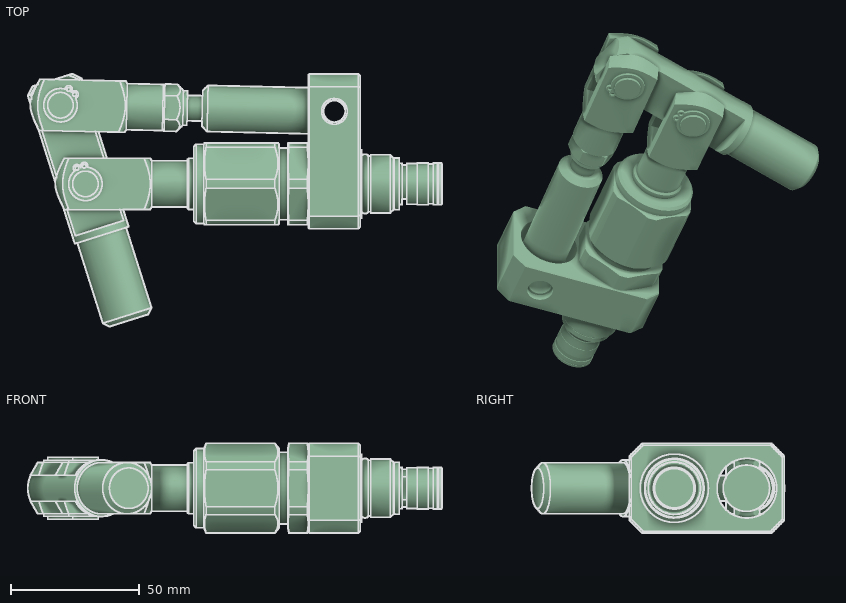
import cadquery as cq
import math


BLOCK_LENGTH = 20.1
BLOCK_HEIGHT = 35.0
BLOCK_WIDTH = 60.2
BLOCK_CORNER_CHAMFER = 5.0
BLOCK_REAR_CHAMFER = 0.8
BLOCK_FRONT_CHAMFER = 0.4
BLOCK_CENTER_Y = BLOCK_WIDTH / 2 - BLOCK_HEIGHT / 2

JOINT_X = BLOCK_LENGTH / 2
JOINT_Y = 28.2
LINK_BORE_DIAMETER = 23.2
JOINT_HOLE_DIAMETER = 8.4
COUNTERBORE_DIAMETER = 10.0
COUNTERBORE_DEPTH = 2.7
SLEEVE_DIAMETER = 10.0
SLEEVE_HALF_HEIGHT = 12.0

LEVER_ANGLE = 17.6
PIN_SPACING = 32.0
MAIN_PIN_X = -86.6
LEVER_DIAMETER = 22.0
LEVER_BAR_THICKNESS = 10.0
LEVER_END = -10.3
LEVER_END_CHAMFER = 2.9
LEVER_SHOULDER = 50.1
LEVER_COLLAR_END = 53.0
HANDLE_DIAMETER = 20.0
HANDLE_END = 87.8
HANDLE_CHAMFER = 2.1

LINK_PIN_X = MAIN_PIN_X - PIN_SPACING * math.sin(math.radians(LEVER_ANGLE))
LINK_PIN_Y = PIN_SPACING * math.cos(math.radians(LEVER_ANGLE))
LINK_LENGTH = math.hypot(JOINT_X - LINK_PIN_X, JOINT_Y - LINK_PIN_Y)
LINK_ANGLE = math.degrees(math.atan2(JOINT_Y - LINK_PIN_Y, JOINT_X - LINK_PIN_X))

CLEVIS_SIDE = 20.0
CLEVIS_FRONT = -11.8
CLEVIS_FRONT_RADIUS = 5.0
CLEVIS_REAR = 25.8
CLEVIS_SLOT_END = 20.0
CLEVIS_CONE_ANGLE = 30
NECK_DIAMETER = 18.0

PIN_DIAMETER = 10.0
PIN_HALF_LENGTH = 12.0
CLIP_DIAMETER = 13.0
CLIP_THICKNESS = 1.0
EAR_DIAMETER = 2.9
EAR_RADIUS = 7.0
EAR_HOLE_DIAMETER = 1.5
EAR_SPREAD = 24.5
LINK_CLIP_ANGLE = 50
MAIN_CLIP_ANGLE = 106

LINK_NECK_END = 39.8
LINK_NECK_EDGE = 0.6
LINK_HEX_FLATS = 16.0
LINK_HEX_TIP = 47.7
LINK_COLLAR_DIAMETER = 13.5
LINK_COLLAR_END = 49.3
THIN_ROD_DIAMETER = 10.0
THICK_ROD_START = 55.0
THICK_ROD_DIAMETER = 18.0
THICK_ROD_CHAMFER = 2.1
ROD_PAST_JOINT = 9.0

WIPER_START = -47.0
WIPER_DIAMETER = 20.0
WIPER_CHAMFER = 0.5
CAP_START = -44.6
CAP_DIAMETER = 31.0
CAP_CHAMFER = 1.0
HEX_START = -40.6
HEX_END = -11.5
NUT_START = -8.0
HEX_FLATS = 31.9
HEX_TURNED_DIAMETER = BLOCK_HEIGHT
HEX_FRONT_CHAMFER = 0.8
HEX_REAR_CHAMFER = 1.6
NUT_CHAMFER = 0.5
GROOVE_DIAMETER = 28.0

FLANGE_END = 20.8
FLANGE_DIAMETER = 26.5
SEAL_END = 23.2
SEAL_DIAMETER = 23.2
SEAL_END_DIAMETER = 22.2
SEAL_SEAT_END = 24.2
SEAL_SEAT_DIAMETER = 21.7
SOCKET_END = 32.9
SOCKET_DIAMETER = 22.7
SOCKET_CHAMFER = 1.1
SOCKET_RIM_END = 35.3
SOCKET_RIM_DIAMETER = 20.3
RIM_GROOVE_START = 33.0
RIM_GROOVE_WIDTH = 0.3
RIM_GROOVE_DEPTH = 0.3
INSERT_END = 36.4
INSERT_DIAMETER = 16.1
INSERT_NECK_END = 38.2
INSERT_NECK_DIAMETER = 14.8
INSERT_NECK_FLAT = 6.0
PLUG_STEP = 42.2
PLUG_FRONT_DIAMETER = 16.0
PLUG_DIAMETER = 16.3
PLUG_END = 52.0
PLUG_CHAMFER = 0.5
WIDE_GROOVE_START = 46.5
WIDE_GROOVE_WIDTH = 2.0
WIDE_GROOVE_DEPTH = 0.3
NARROW_GROOVE_START = 50.1
NARROW_GROOVE_WIDTH = 0.5
NARROW_GROOVE_DEPTH = 0.2


def turned(profile):
    """Solid of revolution around X from (position, radius) points."""
    outline = [(profile[0][0], 0)] + profile + [(profile[-1][0], 0)]
    return cq.Workplane("XY").polyline(outline).close().revolve(360, (0, 0, 0), (1, 0, 0))


def rod(start, end, diameter, start_chamfer=0, end_chamfer=0):
    """Round bar along X with optional chamfered ends."""
    bar = cq.Workplane("YZ", origin=(start, 0, 0)).circle(diameter / 2).extrude(end - start)
    if start_chamfer:
        bar = bar.faces("<X").chamfer(start_chamfer)
    if end_chamfer:
        bar = bar.faces(">X").chamfer(end_chamfer)
    return bar


def ring(start, width, outer_diameter, depth):
    """Ring around X that cuts a groove of the given depth into a round bar."""
    outside = rod(start, start + width, outer_diameter)
    return outside.cut(rod(start, start + width, outer_diameter - 2 * depth))


def vertical_cylinder(diameter, half_height):
    return cq.Workplane("XY").circle(diameter / 2).extrude(half_height, both=True)


def corner_diameter(flats):
    """Size of a regular hexagon across its corners."""
    return flats * 2 / math.sqrt(3)


def hexagon(start, end, flats, first_corner):
    """Hexagonal bar along X; first_corner is the angle of one corner from +Y."""
    across_corners = corner_diameter(flats)
    bar = cq.Workplane("YZ", origin=(start, 0, 0)).polygon(6, across_corners).extrude(end - start)
    return bar.rotate((0, 0, 0), (1, 0, 0), first_corner)


def turned_hexagon(start, end, start_chamfer, end_chamfer):
    """Large hexagon with a corner upwards and turned corners and ends."""
    face_radius = CAP_DIAMETER / 2
    corner_radius = HEX_TURNED_DIAMETER / 2
    blank = turned([
        (start, face_radius),
        (start + start_chamfer, corner_radius),
        (end - end_chamfer, corner_radius),
        (end, face_radius),
    ])
    return hexagon(start, end, HEX_FLATS, 90).intersect(blank)


def clevis():
    """Square fork with conically turned ends, slotted for the lever."""
    half_diagonal = CLEVIS_SIDE / math.sqrt(2)
    neck_radius = NECK_DIAMETER / 2
    slope = math.tan(math.radians(CLEVIS_CONE_ANGLE))
    front_cone = (half_diagonal - CLEVIS_FRONT_RADIUS) * slope
    rear_cone = (half_diagonal - neck_radius) * slope
    envelope = turned([
        (CLEVIS_FRONT, CLEVIS_FRONT_RADIUS),
        (CLEVIS_FRONT + front_cone, half_diagonal),
        (CLEVIS_REAR - rear_cone, half_diagonal),
        (CLEVIS_REAR, neck_radius),
    ])
    length = CLEVIS_REAR - CLEVIS_FRONT
    middle = (CLEVIS_REAR + CLEVIS_FRONT) / 2
    bar = cq.Workplane("XY").box(length, CLEVIS_SIDE, CLEVIS_SIDE).translate((middle, 0, 0))
    slot_length = CLEVIS_SLOT_END - CLEVIS_FRONT
    slot_middle = (CLEVIS_SLOT_END + CLEVIS_FRONT) / 2
    slot = cq.Workplane("XY").box(slot_length, CLEVIS_SIDE, LEVER_BAR_THICKNESS)
    return bar.intersect(envelope).cut(slot.translate((slot_middle, 0, 0)))


def clip(angle):
    """Retaining clip with two drilled ears, lying on Z = 0."""
    ear_points = []
    for side in (-1, 1):
        ear_angle = math.radians(angle + side * EAR_SPREAD / 2)
        ear_points.append((EAR_RADIUS * math.cos(ear_angle), EAR_RADIUS * math.sin(ear_angle)))
    plate = cq.Workplane("XY").circle(CLIP_DIAMETER / 2).extrude(CLIP_THICKNESS)
    ears = cq.Workplane("XY").pushPoints(ear_points).circle(EAR_DIAMETER / 2).extrude(CLIP_THICKNESS)
    holes = cq.Workplane("XY").pushPoints(ear_points).circle(EAR_HOLE_DIAMETER / 2).extrude(CLIP_THICKNESS)
    return plate.union(ears).cut(holes)


def pinned_clevis(clip_angle):
    """Clevis with its pin and a clip on both faces."""
    top_clip = clip(clip_angle).translate((0, 0, CLEVIS_SIDE / 2))
    pin = vertical_cylinder(PIN_DIAMETER, PIN_HALF_LENGTH)
    return clevis().union(pin).union(top_clip).union(top_clip.mirror("XY"))


def block():
    body = (
        cq.Workplane("XY")
        .box(BLOCK_LENGTH, BLOCK_WIDTH, BLOCK_HEIGHT)
        .edges("|X")
        .chamfer(BLOCK_CORNER_CHAMFER)
        .faces(">X")
        .chamfer(BLOCK_REAR_CHAMFER)
        .faces("<X")
        .chamfer(BLOCK_FRONT_CHAMFER)
        .translate((BLOCK_LENGTH / 2, BLOCK_CENTER_Y, 0))
    )
    link_bore = rod(0, BLOCK_LENGTH, LINK_BORE_DIAMETER).translate((0, JOINT_Y, 0))
    joint_hole = vertical_cylinder(JOINT_HOLE_DIAMETER, BLOCK_HEIGHT).translate((JOINT_X, JOINT_Y, 0))
    body = body.cut(link_bore).cut(joint_hole)
    for bottom in (BLOCK_HEIGHT / 2 - COUNTERBORE_DEPTH, -BLOCK_HEIGHT / 2):
        plane = cq.Workplane("XY", origin=(JOINT_X, JOINT_Y, bottom))
        body = body.cut(plane.circle(COUNTERBORE_DIAMETER / 2).extrude(COUNTERBORE_DEPTH))
    return body


def lever():
    """Round lever with a flattened bar, laid along X from the link pin, then turned."""
    stock = rod(LEVER_END, LEVER_COLLAR_END, LEVER_DIAMETER, LEVER_END_CHAMFER)
    flat_length = LEVER_SHOULDER - LEVER_END
    keep = cq.Workplane("XY").box(flat_length, LEVER_DIAMETER, LEVER_BAR_THICKNESS)
    keep = keep.translate((LEVER_END + flat_length / 2, 0, 0))
    collar = rod(LEVER_SHOULDER, LEVER_COLLAR_END, LEVER_DIAMETER)
    handle = rod(LEVER_COLLAR_END, HANDLE_END, HANDLE_DIAMETER, 0, HANDLE_CHAMFER)
    body = stock.intersect(keep).union(collar).union(handle)
    return body.rotate((0, 0, 0), (0, 0, 1), LEVER_ANGLE - 90).translate((LINK_PIN_X, LINK_PIN_Y, 0))


def link():
    """Slightly tilted link rod from its clevis to the joint in the block."""
    neck = rod(CLEVIS_REAR, LINK_NECK_END + LINK_NECK_EDGE, NECK_DIAMETER, 0, LINK_NECK_EDGE)
    hex_start = LINK_NECK_END + LINK_NECK_EDGE
    corner_radius = corner_diameter(LINK_HEX_FLATS) / 2
    collar_radius = LINK_COLLAR_DIAMETER / 2
    hex_envelope = turned([
        (hex_start, corner_radius),
        (LINK_HEX_TIP - (corner_radius - collar_radius), corner_radius),
        (LINK_HEX_TIP, collar_radius),
    ])
    hex_part = hexagon(hex_start, LINK_HEX_TIP, LINK_HEX_FLATS, 0).intersect(hex_envelope)
    collar = rod(LINK_HEX_TIP, LINK_COLLAR_END, LINK_COLLAR_DIAMETER)
    thin_rod = rod(LINK_COLLAR_END, THICK_ROD_START, THIN_ROD_DIAMETER)
    thick_rod = rod(THICK_ROD_START, LINK_LENGTH + ROD_PAST_JOINT, THICK_ROD_DIAMETER, THICK_ROD_CHAMFER)
    body = pinned_clevis(LINK_CLIP_ANGLE - LINK_ANGLE)
    for section in (neck, hex_part, collar, thin_rod, thick_rod):
        body = body.union(section)
    sleeve = vertical_cylinder(SLEEVE_DIAMETER, SLEEVE_HALF_HEIGHT).translate((LINK_LENGTH, 0, 0))
    joint_hole = vertical_cylinder(JOINT_HOLE_DIAMETER, BLOCK_HEIGHT).translate((LINK_LENGTH, 0, 0))
    body = body.union(sleeve).cut(joint_hole)
    return body.rotate((0, 0, 0), (0, 0, 1), LINK_ANGLE).translate((LINK_PIN_X, LINK_PIN_Y, 0))


def main_cylinder():
    body = pinned_clevis(MAIN_CLIP_ANGLE).translate((MAIN_PIN_X, 0, 0))
    sections = [
        rod(MAIN_PIN_X + CLEVIS_REAR, WIPER_START, NECK_DIAMETER),
        rod(WIPER_START, CAP_START, WIPER_DIAMETER, WIPER_CHAMFER),
        rod(CAP_START, HEX_START, CAP_DIAMETER, CAP_CHAMFER),
        turned_hexagon(HEX_START, HEX_END, HEX_FRONT_CHAMFER, HEX_REAR_CHAMFER),
        rod(HEX_END, NUT_START, GROOVE_DIAMETER),
        turned_hexagon(NUT_START, 0, NUT_CHAMFER, NUT_CHAMFER),
    ]
    for section in sections:
        body = body.union(section)
    return body


def connector():
    """Stepped connector on the main axis behind the block."""
    seal_middle = (FLANGE_END + SEAL_END) / 2
    seal = (
        cq.Workplane("XY")
        .moveTo(FLANGE_END, 0)
        .lineTo(FLANGE_END, SEAL_END_DIAMETER / 2)
        .threePointArc((seal_middle, SEAL_DIAMETER / 2), (SEAL_END, SEAL_END_DIAMETER / 2))
        .lineTo(SEAL_END, 0)
        .close()
        .revolve(360, (0, 0, 0), (1, 0, 0))
    )
    flat_stock = cq.Workplane("XY").box(PLUG_END, INSERT_NECK_DIAMETER, INSERT_NECK_DIAMETER)
    flat_stock = flat_stock.translate((PLUG_END, INSERT_NECK_DIAMETER / 2 - INSERT_NECK_FLAT, 0))
    sections = [
        rod(BLOCK_LENGTH, FLANGE_END, FLANGE_DIAMETER),
        seal,
        rod(SEAL_END, SEAL_SEAT_END, SEAL_SEAT_DIAMETER),
        rod(SEAL_SEAT_END, SOCKET_END, SOCKET_DIAMETER, 0, SOCKET_CHAMFER),
        rod(SOCKET_END, SOCKET_RIM_END, SOCKET_RIM_DIAMETER),
        rod(SOCKET_RIM_END, INSERT_END, INSERT_DIAMETER),
        rod(INSERT_END, INSERT_NECK_END, INSERT_NECK_DIAMETER).intersect(flat_stock),
        rod(INSERT_NECK_END, PLUG_STEP, PLUG_FRONT_DIAMETER),
        rod(PLUG_STEP, PLUG_END, PLUG_DIAMETER, 0, PLUG_CHAMFER),
    ]
    body = sections[0]
    for section in sections[1:]:
        body = body.union(section)
    grooves = [
        ring(RIM_GROOVE_START, RIM_GROOVE_WIDTH, SOCKET_RIM_DIAMETER, RIM_GROOVE_DEPTH),
        ring(WIDE_GROOVE_START, WIDE_GROOVE_WIDTH, PLUG_DIAMETER, WIDE_GROOVE_DEPTH),
        ring(NARROW_GROOVE_START, NARROW_GROOVE_WIDTH, PLUG_DIAMETER, NARROW_GROOVE_DEPTH),
    ]
    for groove in grooves:
        body = body.cut(groove)
    return body


result = block().union(main_cylinder()).union(connector()).union(lever()).union(link())